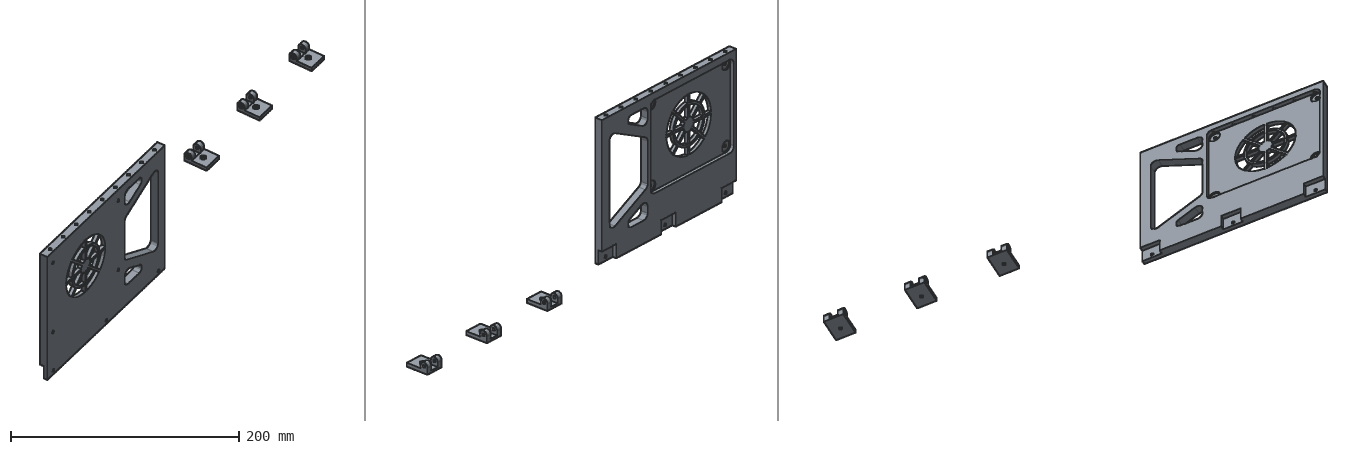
import cadquery as cq
panel_thickness = 8.0
panel_length = 180.0
panel_height = 143.5

edge_hole_count = 9
edge_hole_row_length = 160.0
edge_hole_pitch = edge_hole_row_length / (edge_hole_count - 1)
edge_hole_diameter = 3.0
edge_hole_depth = 6.5

opening_mid_height = 78.0
opening_fillet = 5.0
small_opening_far_fillet = 3.5
strut_slope = 0.49
openings_near_y = 119.0
large_opening_far_y = 170.0
large_opening_near_half_height = 24.5
small_opening_far_y = 144.5
small_opening_outer_offset = 55.0
strut_gap = 10.8

recess_near_y = 3.5
recess_far_y = 114.5
recess_bottom = 44.0
recess_top = 136.0
recess_depth = panel_thickness / 2
screw_inset = 5.5
screw_seat_diameter = 10.8
screw_hole_diameter = 3.0
screw_seat_depth = 1.5

grille_center_y = (recess_near_y + recess_far_y) / 2
grille_center_z = 91.0
grille_diameter = 60.0
grille_hub_diameter = 14.0
grille_ring_diameter = 40.2
grille_bar_width = 2.5
grille_spoke_count = 8

bracket_width = 19.0
bracket_length = 24.0
overall_length = 468.0
bracket_row_shift = overall_length - panel_length
overall_depth = 54.5
bracket_face_x = panel_thickness - overall_depth
bracket_bottom = 20.5
base_thickness = 4.0
ear_radius = 4.0
ear_axis_height = 7.0
ear_gap = 8.5
ear_gap_floor = 2.5
pivot_hole_diameter = 3.0
pivot_seat_diameter = 5.5
pivot_seat_depth = 1.5
base_hole_offset = 13.5
base_hole_diameter = 3.0
base_seat_diameter = 5.5
base_seat_depth = 1.5

notch_depth = panel_thickness / 2
notch_height = 14.0
notch_hole_height = 4.0
notch_hole_diameter = 3.0

middle_bracket_shift = 0.7
bracket_centers = [
    bracket_width / 2,
    panel_length / 2 + middle_bracket_shift,
    panel_length - bracket_width / 2,
]


def cylinder_along_x(diameter, length, x, y, z):
    return cq.Workplane("YZ", origin=(x, y, z)).circle(diameter / 2).extrude(length)


def trapezoid_through_panel(points, near_fillet, far_fillet):
    """Extrude a (y, z) trapezoid through the panel and round its near and far corners."""
    return (
        cq.Workplane("YZ").polyline(points).close().extrude(panel_thickness)
        .edges("|X and <Y").fillet(near_fillet)
        .edges("|X and >Y").fillet(far_fillet)
    )


def panel_openings():
    mid = opening_mid_height
    near_half = large_opening_near_half_height
    far_half = near_half + strut_slope * (large_opening_far_y - openings_near_y)
    large = trapezoid_through_panel([
        (openings_near_y, mid - near_half),
        (large_opening_far_y, mid - far_half),
        (large_opening_far_y, mid + far_half),
        (openings_near_y, mid + near_half),
    ], opening_fillet, opening_fillet)
    openings = [large]
    near_offset = near_half + strut_gap
    far_offset = near_offset + strut_slope * (small_opening_far_y - openings_near_y)
    for side in (1, -1):
        openings.append(trapezoid_through_panel([
            (openings_near_y, mid + side * near_offset),
            (small_opening_far_y, mid + side * far_offset),
            (small_opening_far_y, mid + side * small_opening_outer_offset),
            (openings_near_y, mid + side * small_opening_outer_offset),
        ], opening_fillet, small_opening_far_fillet))
    return openings


def fan_recess():
    return (
        cq.Workplane("XY")
        .box(recess_depth, recess_far_y - recess_near_y, recess_top - recess_bottom, centered=False)
        .translate((0, recess_near_y, recess_bottom))
        .edges("|X").fillet(screw_inset)
    )


def grille_cutter():
    def disc(diameter):
        return cylinder_along_x(diameter, panel_thickness, 0, grille_center_y, grille_center_z)

    ring = disc(grille_ring_diameter + grille_bar_width).cut(disc(grille_ring_diameter - grille_bar_width))
    cutter = disc(grille_diameter).cut(disc(grille_hub_diameter)).cut(ring)
    bar = cq.Workplane("XY").box(2 * panel_thickness, grille_diameter, grille_bar_width)
    for i in range(grille_spoke_count // 2):
        spoke = bar.rotate((0, 0, 0), (1, 0, 0), i * 360 / grille_spoke_count)
        cutter = cutter.cut(spoke.translate((0, grille_center_y, grille_center_z)))
    return cutter


def make_panel():
    panel = cq.Workplane("XY").box(panel_thickness, panel_length, panel_height, centered=False)
    for opening in panel_openings():
        panel = panel.cut(opening)

    panel = panel.cut(fan_recess()).cut(grille_cutter())
    seat_bottom = recess_depth + screw_seat_depth
    for y in (recess_near_y + screw_inset, recess_far_y - screw_inset):
        for z in (recess_bottom + screw_inset, recess_top - screw_inset):
            panel = panel.cut(cylinder_along_x(screw_seat_diameter, seat_bottom, 0, y, z))
            panel = panel.cut(cylinder_along_x(screw_hole_diameter, panel_thickness, 0, y, z))

    for y in bracket_centers:
        notch = cq.Workplane("XY").box(2 * notch_depth, bracket_width, 2 * notch_height)
        panel = panel.cut(notch.translate((0, y, 0)))
        panel = panel.cut(cylinder_along_x(notch_hole_diameter, panel_thickness, 0, y, notch_hole_height))

    edge_holes = (
        cq.Workplane("XY", origin=(panel_thickness / 2, panel_length / 2, panel_height))
        .rarray(4.5, edge_hole_pitch, 1, edge_hole_count)
        .circle(edge_hole_diameter / 2).extrude(-edge_hole_depth)
    )
    return panel.cut(edge_holes)


def make_bracket(center_y):
    half_width = bracket_width / 2
    base = cq.Workplane("XY").box(
        bracket_length, bracket_width, base_thickness, centered=(False, True, False))
    ears = (
        cq.Workplane("XZ", origin=(0, half_width, 0))
        .lineTo(2 * ear_radius, 0)
        .lineTo(2 * ear_radius, ear_axis_height)
        .threePointArc((ear_radius, ear_axis_height + ear_radius), (0, ear_axis_height))
        .close().extrude(bracket_width)
    )
    gap = (
        cq.Workplane("XY", origin=(0, 0, ear_gap_floor))
        .box(2 * ear_radius, ear_gap, 2 * ear_axis_height, centered=(False, True, False))
    )
    pivot_hole = (
        cq.Workplane("XZ", origin=(ear_radius, half_width, ear_axis_height))
        .circle(pivot_hole_diameter / 2).extrude(bracket_width)
    )
    pivot_seat = (
        cq.Workplane("XZ", origin=(ear_radius, -half_width, ear_axis_height))
        .circle(pivot_seat_diameter / 2).extrude(-pivot_seat_depth)
    )
    base_hole = (
        cq.Workplane("XY", origin=(base_hole_offset, 0, base_thickness))
        .circle(base_hole_diameter / 2).extrude(-base_thickness)
    )
    base_seat = (
        cq.Workplane("XY", origin=(base_hole_offset, 0, base_thickness))
        .circle(base_seat_diameter / 2).extrude(-base_seat_depth)
    )
    bracket = base.union(ears).cut(gap)
    bracket = bracket.cut(pivot_hole).cut(pivot_seat)
    bracket = bracket.cut(base_hole).cut(base_seat)
    return bracket.translate((bracket_face_x, center_y, bracket_bottom))


panel = make_panel()
brackets = [make_bracket(y + bracket_row_shift) for y in bracket_centers]

result = cq.Compound.makeCompound([panel.val(), *[bracket.val() for bracket in brackets]])